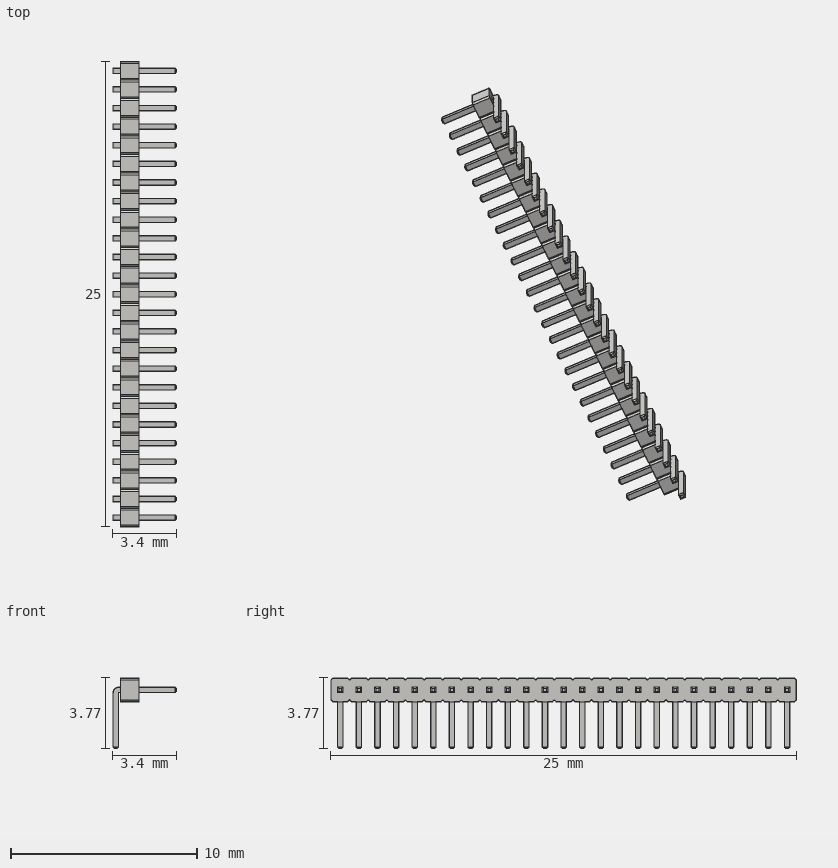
import cadquery as cq


pin_count = 25
pitch = 1.0

overall_length = 3.4
overall_height = 3.77

body_width = 1.0
body_height = 1.27
body_chamfer = 0.1
body_gap = 0.1

pin_size = 0.3
bend_radius = pin_size
tip_chamfer = pin_size / 4

pin_half = pin_size / 2
body_center_x = pin_half + body_gap + body_width / 2
pin_end_x = overall_length - pin_half
leg_bottom_z = body_height / 2 - overall_height


def pin_y(index):
    """Y position of a pin, counted from the -Y end of the row."""
    return (index - (pin_count - 1) / 2) * pitch


def make_body_cell():
    """One pitch of the strip, with the edges facing its neighbours chamfered top and bottom."""
    cell = cq.Workplane("XY").box(body_width, pitch, body_height)
    return cell.edges("|X").chamfer(body_chamfer).translate((body_center_x, 0, 0))


def make_pin():
    """An L-shaped square pin with a rounded outer bend and chamfered tips."""
    leg_height = pin_half - leg_bottom_z
    leg = cq.Workplane("XY").box(pin_size, pin_size, leg_height)
    leg = leg.translate((0, 0, leg_bottom_z + leg_height / 2))
    arm = cq.Workplane("XY").box(overall_length, pin_size, pin_size)
    arm = arm.translate((pin_end_x - overall_length / 2, 0, 0))
    pin = leg.union(arm)
    outer_corner = cq.selectors.NearestToPointSelector((-pin_half, 0, pin_half))
    pin = pin.edges("|Y").edges(outer_corner).fillet(bend_radius)
    return pin.faces(">X or <Z").chamfer(tip_chamfer)


def make_header():
    """Repeat the strip cell and its pin along the row and join them."""
    positions = [(0, pin_y(i)) for i in range(pin_count)]
    row = cq.Workplane("XY").pushPoints(positions)
    unit_shape = make_body_cell().union(make_pin()).val()
    return row.eachpoint(lambda location: unit_shape.moved(location), combine="a")


result = make_header()